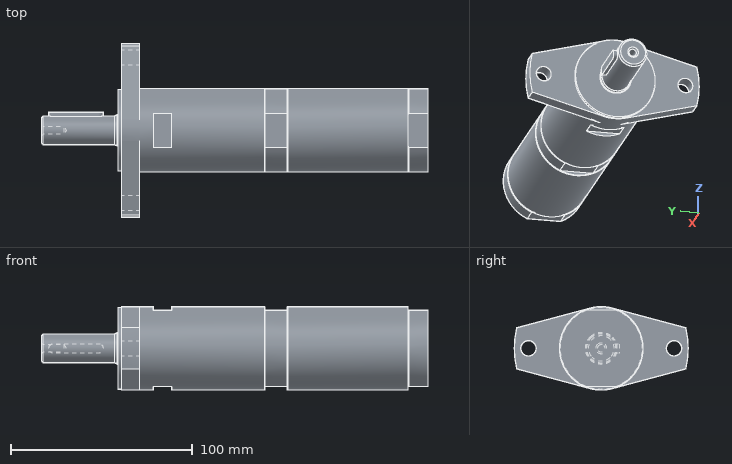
import cadquery as cq
import math


overall_length = 212.5
body_dia = 46.0
pilot_dia = 45.0
pilot_front_x = 42.0

flange_front_x = 44.0
flange_thickness = 10.0
flange_span = 95.7
flange_taper_deg = 15.0
mount_hole_dia = 8.3
mount_hole_spacing = 80.0

flat_across = 42.0
front_flats = (61.5, 71.5)
middle_flats = (123.0, 135.0)
rear_flats = (201.5, overall_length)

joint_bevel_length = 0.5
joint_bevel_depth = 0.2
beveled_joints = [(middle_flats[0], -1), (middle_flats[1], 1), (rear_flats[0], 1)]

shaft_dia = 16.0
shaft_end_chamfer = 1.0
collar_dia = 17.5
collar_length = 0.6
taper_end_dia = 16.95
taper_length = 1.3

key_start_x = 4.0
key_length = 30.0
key_width = 5.0
key_height = 5.0
key_top_y = 10.0

centre_hole_dia = 4.13
centre_hole_depth = 12.5
centre_sink_dia = 6.0
drill_tip_deg = 118.0


def cylinder(dia, start_x, end_x):
    """Solid cylinder along X."""
    return cq.Workplane("YZ", origin=(start_x, 0, 0)).circle(dia / 2).extrude(end_x - start_x)


def make_pilot():
    """Locating spigot standing proud of the flange front."""
    return cylinder(pilot_dia, pilot_front_x, flange_front_x)


def make_housing():
    """Cylindrical housing through and behind the flange, with pairs of wrench flats."""
    housing = cylinder(body_dia, flange_front_x, overall_length)
    for start_x, end_x in (front_flats, middle_flats, rear_flats):
        keeper = cq.Workplane("XY").box(end_x - start_x, body_dia, flat_across)
        ring = cylinder(body_dia, start_x, end_x)
        waste = ring.cut(keeper.translate(((start_x + end_x) / 2, 0, 0)))
        housing = housing.cut(waste)
    for joint_x, direction in beveled_joints:
        housing = housing.cut(make_joint_bevel(joint_x, direction))
    return housing


def make_joint_bevel(joint_x, direction):
    """Ring of waste that bevels a housing edge down towards its joint."""
    body_r = body_dia / 2
    profile = (
        cq.Workplane("XY")
        .moveTo(joint_x, body_r - joint_bevel_depth)
        .lineTo(joint_x, body_r)
        .lineTo(joint_x + direction * joint_bevel_length, body_r)
        .close()
    )
    return profile.revolve(360, (0, 0, 0), (1, 0, 0))


def make_flange():
    """Diamond plate: sides tangent to the body circle, ends on a larger arc."""
    body_r = body_dia / 2
    end_r = flange_span / 2
    taper = math.radians(flange_taper_deg)
    tangent_y = body_r * math.sin(taper)
    tangent_z = body_r * math.cos(taper)
    corner_angle = math.pi / 2 - taper - math.acos(body_r / end_r)
    corner_y = end_r * math.cos(corner_angle)
    corner_z = end_r * math.sin(corner_angle)
    plate = (
        cq.Workplane("YZ", origin=(flange_front_x, 0, 0))
        .moveTo(-tangent_y, tangent_z)
        .threePointArc((0, body_r), (tangent_y, tangent_z))
        .lineTo(corner_y, corner_z)
        .threePointArc((end_r, 0), (corner_y, -corner_z))
        .lineTo(tangent_y, -tangent_z)
        .threePointArc((0, -body_r), (-tangent_y, -tangent_z))
        .lineTo(-corner_y, -corner_z)
        .threePointArc((-end_r, 0), (-corner_y, corner_z))
        .close()
        .extrude(flange_thickness)
    )
    holes = (
        cq.Workplane("YZ", origin=(flange_front_x, 0, 0))
        .rarray(mount_hole_spacing, 1, 2, 1)
        .circle(mount_hole_dia / 2)
        .extrude(flange_thickness)
    )
    return plate.cut(holes)


def make_shaft():
    """Shaft with chamfered end, tapering out towards a short collar at the pilot face."""
    shaft_r = shaft_dia / 2
    collar_r = collar_dia / 2
    collar_x = pilot_front_x - collar_length
    profile = (
        cq.Workplane("XY")
        .moveTo(0, 0)
        .lineTo(0, shaft_r - shaft_end_chamfer)
        .lineTo(shaft_end_chamfer, shaft_r)
        .lineTo(collar_x - taper_length, shaft_r)
        .lineTo(collar_x, taper_end_dia / 2)
        .lineTo(collar_x, collar_r)
        .lineTo(pilot_front_x, collar_r)
        .lineTo(pilot_front_x, 0)
        .close()
    )
    return profile.revolve(360, (0, 0, 0), (1, 0, 0))


def make_key():
    """Round-ended key, extruded outwards along +Y from its seat."""
    seat_y = key_top_y - key_height
    return (
        cq.Workplane("XZ", origin=(key_start_x + key_length / 2, seat_y, 0))
        .slot2D(key_length, key_width)
        .extrude(-key_height)
    )


def make_centre_hole():
    """Blind drilled hole with a conical tip and a 45 degree countersink."""
    hole_r = centre_hole_dia / 2
    sink_r = centre_sink_dia / 2
    tip_length = hole_r / math.tan(math.radians(drill_tip_deg / 2))
    profile = (
        cq.Workplane("XY")
        .moveTo(0, 0)
        .lineTo(0, sink_r)
        .lineTo(sink_r - hole_r, hole_r)
        .lineTo(centre_hole_depth, hole_r)
        .lineTo(centre_hole_depth + tip_length, 0)
        .close()
    )
    return profile.revolve(360, (0, 0, 0), (1, 0, 0))


result = (
    make_flange()
    .union(make_pilot())
    .union(make_housing())
    .union(make_shaft())
    .union(make_key())
    .cut(make_centre_hole())
)